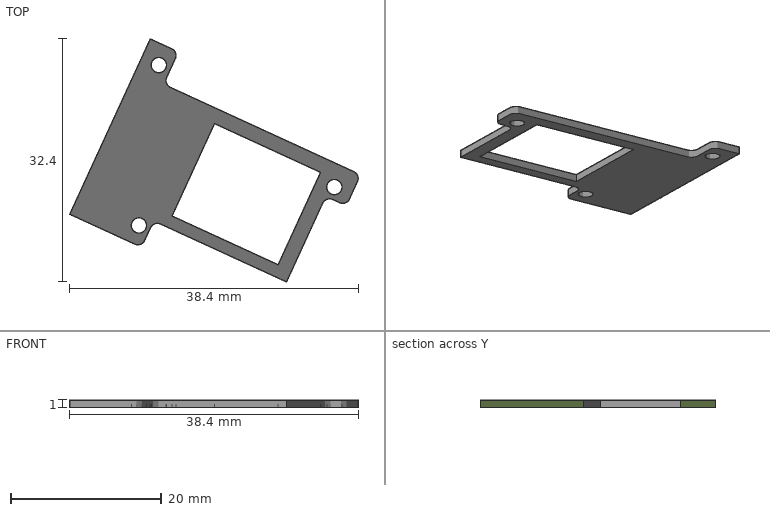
import cadquery as cq

THICKNESS = 1.0
TURN_ANGLE = -24.675
CORNER_RADIUS = 1.0

LEFT_EDGE_WIDTH = 25.7
FRAME_LENGTH = 30.0
FRAME_BOTTOM = 3.86
FRAME_TOP = 20.96

UPPER_TAB_LENGTH = 4.15
LOWER_TAB_LENGTH = 10.54
RIGHT_TAB_END = 33.0
RIGHT_TAB_BOTTOM = 16.39

WINDOW_LEFT = 12.5
WINDOW_BOTTOM = 5.5
WINDOW_LENGTH = 15.5
WINDOW_WIDTH = 13.5

HOLE_DIAMETER = 2.0
HOLE_CENTERS = [(2.5, 23.0), (9.0, 2.5), (30.5, 18.0)]


def make_plate():
    """Plate outline with the tab corners and the inner corners beside them rounded."""
    rounded_corners = [
        (LOWER_TAB_LENGTH, 0),
        (LOWER_TAB_LENGTH, FRAME_BOTTOM),
        (FRAME_LENGTH, RIGHT_TAB_BOTTOM),
        (RIGHT_TAB_END, RIGHT_TAB_BOTTOM),
        (RIGHT_TAB_END, FRAME_TOP),
        (UPPER_TAB_LENGTH, FRAME_TOP),
        (UPPER_TAB_LENGTH, LEFT_EDGE_WIDTH),
    ]
    outline = [
        (0, 0),
        *rounded_corners[:2],
        (FRAME_LENGTH, FRAME_BOTTOM),
        *rounded_corners[2:],
        (0, LEFT_EDGE_WIDTH),
    ]
    plate = cq.Workplane("XY").polyline(outline).close().extrude(THICKNESS)
    for x, y in rounded_corners:
        corner_edge = cq.selectors.NearestToPointSelector((x, y, THICKNESS / 2))
        plate = plate.edges("|Z").edges(corner_edge).fillet(CORNER_RADIUS)
    return plate


def make_window():
    """Cutter for the rectangular window."""
    return (
        cq.Workplane("XY")
        .box(WINDOW_LENGTH, WINDOW_WIDTH, THICKNESS, centered=False)
        .translate((WINDOW_LEFT, WINDOW_BOTTOM, 0))
    )


def make_holes():
    """Cutter for the through mounting holes."""
    return cq.Workplane("XY").pushPoints(HOLE_CENTERS).circle(HOLE_DIAMETER / 2).extrude(THICKNESS)


flat_plate = make_plate().cut(make_window()).cut(make_holes())
result = flat_plate.rotate((0, 0, 0), (0, 0, 1), TURN_ANGLE)